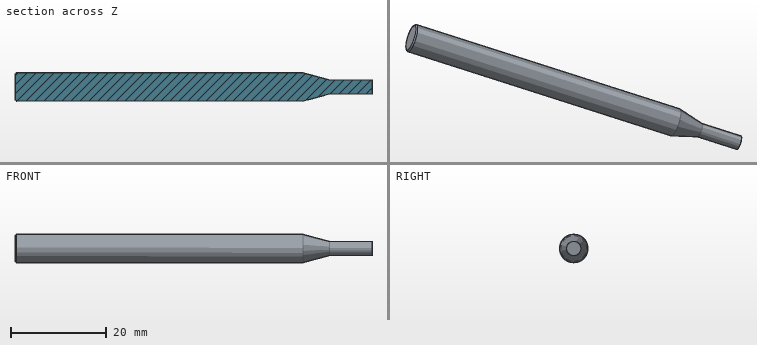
import cadquery as cq

total_length = 75.0
shank_diameter = 6.0
tip_diameter = 3.0
shank_length = 60.45
tip_length = 9.0
end_chamfer = 0.3

shank_radius = shank_diameter / 2
tip_radius = tip_diameter / 2
start_x = -total_length / 2
end_x = total_length / 2

profile = (
    cq.Workplane("XY")
    .moveTo(start_x, 0)
    .lineTo(start_x, shank_radius - end_chamfer)
    .lineTo(start_x + end_chamfer, shank_radius)
    .lineTo(start_x + shank_length, shank_radius)
    .lineTo(end_x - tip_length, tip_radius)
    .lineTo(end_x, tip_radius)
    .lineTo(end_x, 0)
    .close()
)

result = profile.revolve(360, (0, 0, 0), (1, 0, 0))